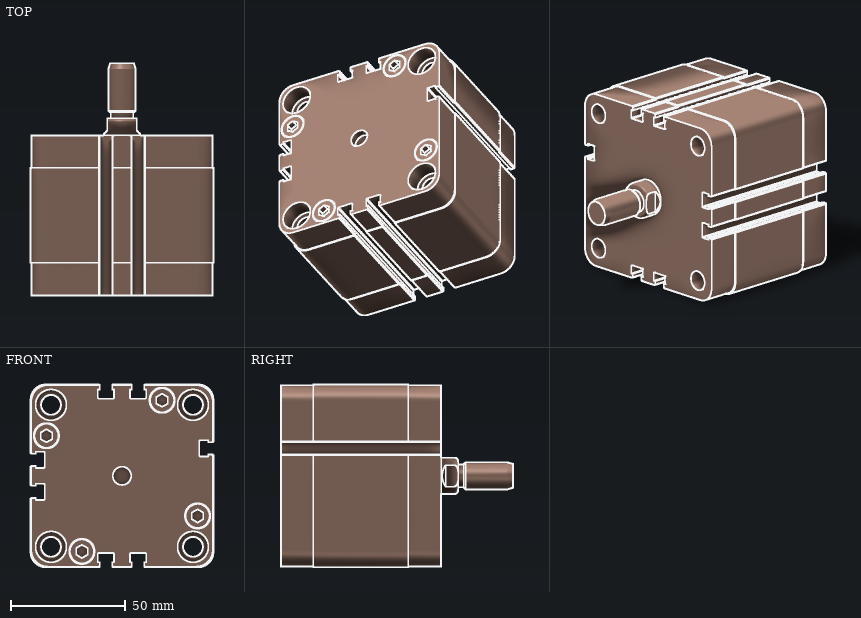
import cadquery as cq
import math


barrel_width = 80.0
cap_step = 0.4
cap_width = barrel_width - 2 * cap_step
body_length = 70.0
cap_length = 14.25
barrel_length = body_length - 2 * cap_length
corner_radius = 7.0

slot_offset = 7.0
single_slot_offset = 12.0
slot_mouth_width = 5.3
slot_inner_width = 7.0
slot_floor = 33.75
slot_lip = 37.65
slot_mouth_chamfer = 0.4
slot_floor_chamfer = 0.3

mount_spacing = 62.0
mount_hole_diameter = 8.57
mount_bore_diameter = 13.5
mount_bore_depth = 8.5

screw_near = 17.5
screw_far = 33.0
screw_bore_diameter = 11.1
screw_head_diameter = 10.5
screw_gap_depth = 6.0
hex_across_flats = 5.0
hex_depth = 3.5

centre_hole_diameter = 8.0
centre_hole_depth = 4.0

shoulder_diameter = 16.0
shoulder_length = 7.5
shoulder_round = 1.75
rod_flat_width = 13.0
rod_flat_start = 2.0
neck_diameter = 10.0
neck_length = 2.5
thread_diameter = 12.0
thread_run_in = 0.7
tip_diameter = 10.5
tip_length = 2.6
rod_length = 31.5


def along_y(start):
    """Workplane facing +Y at the given Y, with local coordinates (-X, Z)."""
    return cq.Workplane("XZ", origin=(0, start, 0)).transformed(rotate=(0, 180, 0))


def cylinders(diameter, points, start, length):
    """Cylinders along +Y at the given (x, z) points."""
    local_points = [(-x, z) for x, z in points]
    return along_y(start).pushPoints(local_points).circle(diameter / 2).extrude(length)


def slot_cutter(offset, angle, surface, start, length):
    """T-slot opening to +Z at X = offset, turned about the body axis by angle."""
    inner = slot_inner_width / 2
    mouth = slot_mouth_width / 2
    flare = mouth + slot_mouth_chamfer
    right_side = [
        (inner - slot_floor_chamfer, slot_floor),
        (inner, slot_floor + slot_floor_chamfer),
        (inner, slot_lip),
        (mouth, slot_lip),
        (mouth, surface - slot_mouth_chamfer),
        (flare, surface),
    ]
    left_side = [(-x, z) for x, z in reversed(right_side)]
    outline = [(x - offset, z) for x, z in right_side + left_side]
    cutter = along_y(start).polyline(outline).close().extrude(length)
    return cutter.rotate((0, 0, 0), (0, 1, 0), angle)


def body_section(width, start, length):
    """One rounded square length of the body with its sensor slots."""
    section = along_y(start).rect(width, width).extrude(length)
    section = section.edges("|Y").fillet(corner_radius)
    surface = width / 2
    for angle in (0, 180, 270):
        for offset in (-slot_offset, slot_offset):
            section = section.cut(slot_cutter(offset, angle, surface, start, length))
    return section.cut(slot_cutter(-single_slot_offset, 90, surface, start, length))


def make_body():
    front_cap = body_section(cap_width, 0, cap_length)
    barrel = body_section(barrel_width, cap_length, barrel_length)
    rear_cap = body_section(cap_width, cap_length + barrel_length, cap_length)
    return front_cap.union(barrel).union(rear_cap)


def cut_mounting_holes(body):
    half = mount_spacing / 2
    points = [(x, z) for x in (-half, half) for z in (-half, half)]
    body = body.cut(cylinders(mount_hole_diameter, points, 0, body_length))
    return body.cut(cylinders(mount_bore_diameter, points, 0, mount_bore_depth))


def cut_cover_screws(body):
    """Socket head screws, flush in the face, each inside a narrow ring gap."""
    points = [
        (screw_near, screw_far),
        (screw_far, -screw_near),
        (-screw_near, -screw_far),
        (-screw_far, screw_near),
    ]
    bores = cylinders(screw_bore_diameter, points, 0, screw_gap_depth)
    heads = cylinders(screw_head_diameter, points, 0, screw_gap_depth)
    body = body.cut(bores.cut(heads))
    hex_across_corners = hex_across_flats / math.cos(math.pi / 6)
    for x, z in points:
        socket = along_y(0).center(-x, z).transformed(rotate=(0, 0, 30))
        body = body.cut(socket.polygon(6, hex_across_corners).extrude(hex_depth))
    return body


def cut_centre_hole(body):
    return body.cut(cylinders(centre_hole_diameter, [(0, 0)], 0, centre_hole_depth))


def make_rod():
    """Rod revolved about Y, with two wrench flats facing +X and -X."""
    shoulder = shoulder_diameter / 2
    neck = neck_diameter / 2
    thread = thread_diameter / 2
    shoulder_end = body_length + shoulder_length
    neck_end = shoulder_end + neck_length
    rod_end = body_length + rod_length
    arc_shift = shoulder_round * (1 - math.sqrt(0.5))
    rod = (
        cq.Workplane("XY")
        .moveTo(0, body_length)
        .lineTo(shoulder, body_length)
        .lineTo(shoulder, shoulder_end - shoulder_round)
        .threePointArc(
            (shoulder - arc_shift, shoulder_end - arc_shift),
            (shoulder - shoulder_round, shoulder_end),
        )
        .lineTo(neck, shoulder_end)
        .lineTo(neck, neck_end)
        .lineTo(thread - thread_run_in, neck_end)
        .lineTo(thread, neck_end + thread_run_in)
        .lineTo(thread, rod_end - tip_length)
        .lineTo(tip_diameter / 2, rod_end)
        .lineTo(0, rod_end)
        .close()
        .revolve(360, (0, 0, 0), (0, 1, 0))
    )
    flat = rod_flat_width / 2
    flat_start = body_length + rod_flat_start
    run_out = shoulder - flat
    flat_outline = [
        (flat, flat_start),
        (shoulder, flat_start - run_out),
        (shoulder, shoulder_end),
        (flat, shoulder_end),
    ]
    cutter = cq.Workplane("XY").polyline(flat_outline).close().extrude(shoulder, both=True)
    return rod.cut(cutter).cut(cutter.mirror("YZ"))


body = make_body()
body = cut_mounting_holes(body)
body = cut_cover_screws(body)
body = cut_centre_hole(body)
result = body.union(make_rod())